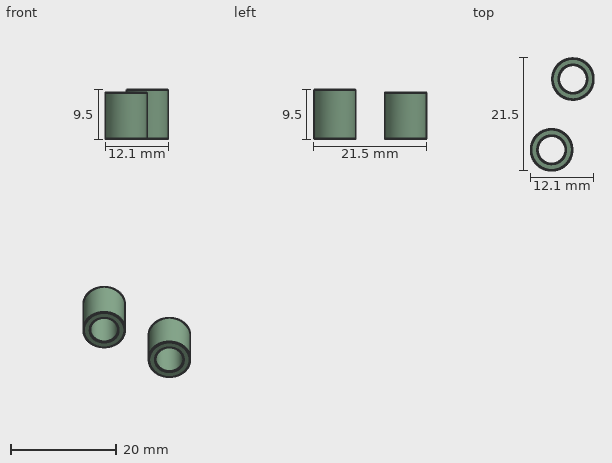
import cadquery as cq

outer_diameter = 8.0
bore_diameter = 5.2
chamfer_size = 0.2
tall_height = 9.5
short_height = 9.0
overall_length = 21.47
overall_width = 12.07

spacing_x = overall_width - outer_diameter
spacing_y = overall_length - outer_diameter


def bushing(height, x, y):
    """Plain bushing standing on Z = 0, with every circular edge chamfered."""
    return (
        cq.Workplane("XY")
        .center(x, y)
        .circle(outer_diameter / 2)
        .circle(bore_diameter / 2)
        .extrude(height)
        .faces("|Z")
        .edges()
        .chamfer(chamfer_size)
    )


bushing_layout = [
    (short_height, -spacing_x / 2, -spacing_y / 2),
    (tall_height, spacing_x / 2, spacing_y / 2),
]
bushings = [bushing(height, x, y).solids().val() for height, x, y in bushing_layout]

result = cq.Compound.makeCompound(bushings)